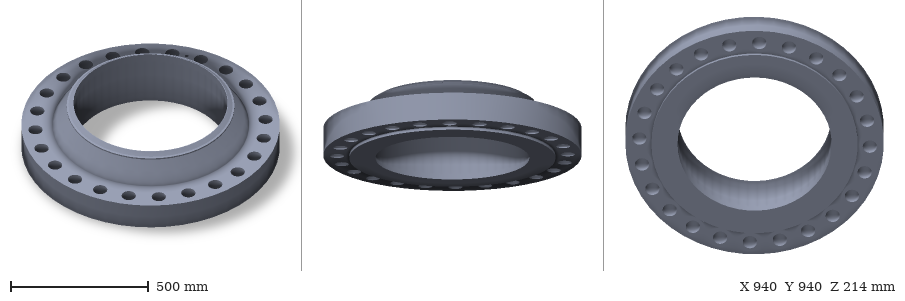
import cadquery as cq
import math

flange_diameter = 940.0
flange_thickness = 101.5
face_diameter = 750.0
face_height = 11.0
bore_diameter = 560.0
total_height = 214.0

hub_base_diameter = 717.0
hub_fillet_radius = 3.0
neck_diameter = 610.0
neck_height = 6.0
bevel_diameter = 596.0
shoulder_drop = 2.0
root_width = 2.0
bevel_angle = 37.5

bolt_count = 24
bolt_circle_diameter = 838.0
bolt_hole_diameter = 52.0
pin_hole_diameter = 13.0
pin_hole_depth = 19.0
pin_pilot_diameter = 7.0
pin_pilot_depth = 28.0

flange_top = face_height + flange_thickness
bolt_pitch_angle = 360.0 / bolt_count


def ring_point(angle):
    """Point on the bolt circle, with the angle in degrees from +X."""
    radius = bolt_circle_diameter / 2
    return (radius * math.cos(math.radians(angle)), radius * math.sin(math.radians(angle)))


def flange_body():
    """Flange, raised face and welding neck as one turned ring."""
    bore_radius = bore_diameter / 2
    root_radius = bore_radius + root_width
    bevel_radius = bevel_diameter / 2
    bevel_bottom = total_height - (bevel_radius - root_radius) * math.tan(math.radians(bevel_angle))
    neck_top = bevel_bottom - shoulder_drop
    profile = [
        (bore_radius, 0),
        (face_diameter / 2, 0),
        (face_diameter / 2, face_height),
        (flange_diameter / 2, face_height),
        (flange_diameter / 2, flange_top),
        (hub_base_diameter / 2, flange_top),
        (neck_diameter / 2, neck_top - neck_height),
        (neck_diameter / 2, neck_top),
        (bevel_radius, bevel_bottom),
        (root_radius, total_height),
        (bore_radius, total_height),
    ]
    body = cq.Workplane("XZ").polyline(profile).close().revolve(360, (0, 0), (0, 1))
    point_on_flange_top = (0, bolt_circle_diameter / 2, flange_top)
    flange_top_face = body.faces(cq.selectors.NearestToPointSelector(point_on_flange_top))
    hub_foot = flange_top_face.edges(cq.selectors.RadiusNthSelector(0))
    return hub_foot.fillet(hub_fillet_radius)


def bolt_holes():
    """Cutters for the full circle of through holes."""
    centres = [ring_point(i * bolt_pitch_angle) for i in range(bolt_count)]
    return cq.Workplane("XY").pushPoints(centres).circle(bolt_hole_diameter / 2).extrude(flange_top)


def pin_hole():
    """Cutter for the stepped blind hole half a pitch beyond the bolt hole on +Y."""
    centre = ring_point(90 + bolt_pitch_angle / 2)
    mouth = cq.Workplane("XY").workplane(offset=flange_top).center(*centre)
    upper = mouth.circle(pin_hole_diameter / 2).extrude(-pin_hole_depth)
    pilot = mouth.circle(pin_pilot_diameter / 2).extrude(-pin_pilot_depth)
    return upper.union(pilot)


result = flange_body().cut(bolt_holes()).cut(pin_hole())